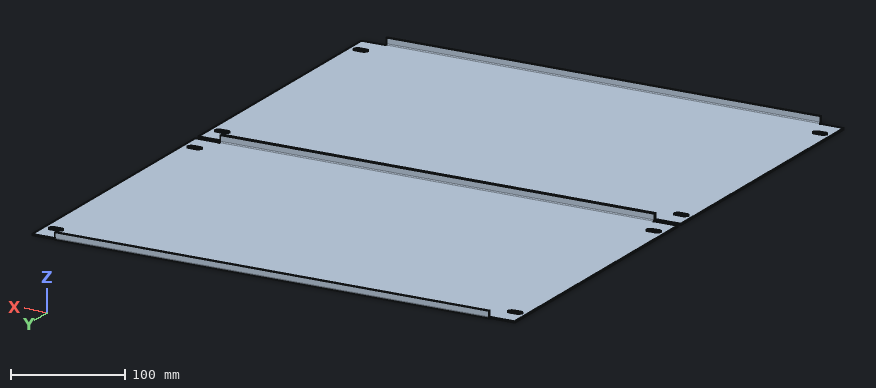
import cadquery as cq

panel_count = 2
total_length = 598.0
panel_width = 482.0
panel_pitch = total_length / panel_count

sheet = 1.5
flange_height = 8.0
flange_length = 433.5
bend_outer_radius = 2.5
bend_inner_radius = bend_outer_radius - sheet

sheet_setback = 3.0

slot_length = 14.0
slot_width = 7.0
slot_spacing_x = 458.5
slot_spacing_y = 249.5


def folded_channel():
    """Shallow channel with an upturned flange along both Y edges."""
    channel = cq.Workplane("XY").box(
        flange_length, panel_pitch, flange_height, centered=(True, True, False)
    )
    channel = channel.edges("|X and <Z").fillet(bend_outer_radius)
    cavity = (
        cq.Workplane("XY", origin=(0, 0, sheet))
        .box(flange_length, panel_pitch - 2 * sheet, flange_height, centered=(True, True, False))
        .edges("|X and <Z")
        .fillet(bend_inner_radius)
    )
    return channel.cut(cavity)


def flat_sheet():
    """Flat plate reaching past the flange ends to form the ears."""
    sheet_length = panel_pitch - 2 * sheet_setback
    return cq.Workplane("XY").box(panel_width, sheet_length, sheet, centered=(True, True, False))


def mounting_slots():
    """Cutters for the four corner slots, elongated along X."""
    return (
        cq.Workplane("XY")
        .rarray(slot_spacing_x, slot_spacing_y, 2, 2)
        .slot2D(slot_length, slot_width)
        .extrude(sheet)
    )


def make_panel(center_y):
    panel = folded_channel().union(flat_sheet()).cut(mounting_slots())
    return panel.translate((0, center_y, 0))


panels = []
for index in range(panel_count):
    center_y = (index - (panel_count - 1) / 2) * panel_pitch
    panels.append(make_panel(center_y).val())

result = cq.Compound.makeCompound(panels)